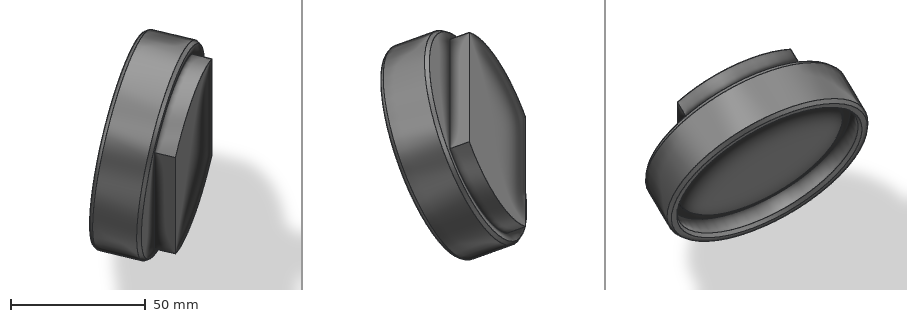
import cadquery as cq

disc_diameter = 84.2
total_length = 28.0
tongue_length = 8.0
disc_thickness = total_length - tongue_length
chamfer_length = 1.5
chamfer_depth = 1.0

recess_radius = 38.0
recess_depth = 8.0
recess_mouth_chamfer = 0.8

pad_base_radius = 35.1
pad_top_radius = 34.3
pad_height = 1.0

tongue_diameter = 76.45
tongue_width = 47.5

disc_radius = disc_diameter / 2
face_radius = disc_radius - chamfer_depth
mouth_radius = recess_radius + recess_mouth_chamfer
pad_face_x = recess_depth - pad_height


def make_disc():
    """Revolve the half section (distance along X, radius) about the X axis."""
    section = [
        (pad_face_x, 0),
        (pad_face_x, pad_top_radius),
        (recess_depth, pad_base_radius),
        (recess_depth, recess_radius),
        (chamfer_length, recess_radius),
        (0, mouth_radius),
        (0, face_radius),
        (chamfer_length, disc_radius),
        (disc_thickness - chamfer_length, disc_radius),
        (disc_thickness, face_radius),
        (disc_thickness, 0),
    ]
    return cq.Workplane("XZ").polyline(section).close().revolve(360, (0, 0), (1, 0))


def make_tongue():
    """Round boss cut to two parallel flats facing -Y and +Y."""
    back_face = cq.Workplane("YZ").workplane(offset=disc_thickness)
    round_boss = back_face.circle(tongue_diameter / 2).extrude(tongue_length)
    flats = back_face.rect(tongue_width, tongue_diameter).extrude(tongue_length)
    return round_boss.intersect(flats)


result = make_disc().union(make_tongue())